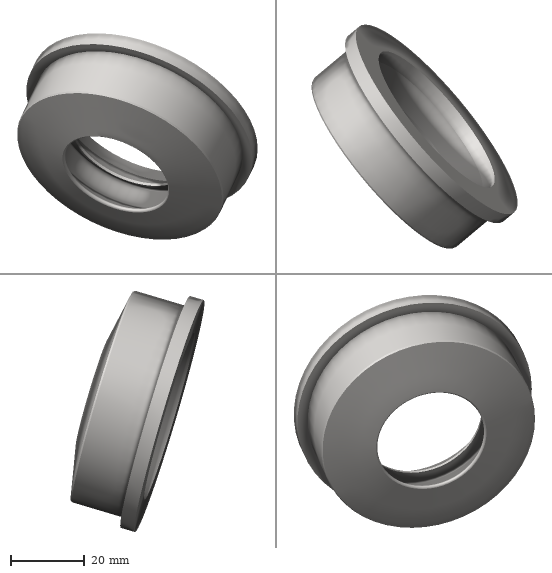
import math

import cadquery as cq

total_length = 22.0
flange_thickness = 3.95
nose_length = 2.9
edge_chamfer_length = 0.45
edge_chamfer_width = 0.25
bore_start = 7.85
bore_end = 14.85
lip_front = 11.5
lip_rear = 12.35
rear_bore_start = 18.15

flange_radius = 66 / 2
body_radius = 60.2 / 2
hole_radius = 30.1 / 2
lip_radius = 35 / 2
bore_radius = 46.0 / 2
rear_opening_radius = 23.7

rim_round = 0.65
bore_entry_round = 1.0
lip_root_round = 0.4

flange_front = total_length - flange_thickness
nose_edge_radius = body_radius - edge_chamfer_width

rim_center_radius = hole_radius + rim_round
nose_slope = math.atan2(nose_length, nose_edge_radius - rim_center_radius)
rim_center = rim_round * math.cos(nose_slope)
nose_tip_radius = rim_center_radius - rim_round * math.sin(nose_slope)

cone_run = bore_radius - rim_center_radius
cone_rise = bore_start - rim_center
inner_slope = math.atan2(cone_rise, cone_run) + math.asin(-rim_round / math.hypot(cone_run, cone_rise))
inner_cone_start = (
    rim_center_radius - rim_round * math.sin(inner_slope),
    rim_center + rim_round * math.cos(inner_slope),
)


def rounded_corner(before, corner, after, radius):
    """Return start, middle and end of the arc that rounds a profile corner."""
    tip = cq.Vector(*corner)
    toward_before = (cq.Vector(*before) - tip).normalized()
    toward_after = (cq.Vector(*after) - tip).normalized()
    half_angle = toward_before.getAngle(toward_after) / 2
    tangent_length = radius / math.tan(half_angle)
    bisector = (toward_before + toward_after).normalized()
    middle = tip + bisector * (radius / math.sin(half_angle) - radius)
    start = tip + toward_before * tangent_length
    end = tip + toward_after * tangent_length
    return start, middle, end


bore_front_corner = (bore_radius, bore_start)
bore_rear_corner = (bore_radius, bore_end)
lip_front_edge = (lip_radius, lip_front)

entry_start, entry_middle, entry_end = rounded_corner(
    inner_cone_start, bore_front_corner, bore_rear_corner, bore_entry_round
)
root_start, root_middle, root_end = rounded_corner(
    bore_front_corner, bore_rear_corner, lip_front_edge, lip_root_round
)

profile = (
    cq.Workplane("XY")
    .moveTo(nose_tip_radius, 0)
    .lineTo(nose_edge_radius, nose_length)
    .lineTo(body_radius, nose_length + edge_chamfer_length)
    .lineTo(body_radius, flange_front)
    .lineTo(flange_radius, flange_front)
    .lineTo(flange_radius, total_length)
    .lineTo(rear_opening_radius, total_length)
    .lineTo(bore_radius, rear_bore_start)
    .lineTo(lip_radius, lip_rear)
    .lineTo(*lip_front_edge)
    .lineTo(root_end.x, root_end.y)
    .threePointArc(root_middle.toTuple()[:2], root_start.toTuple()[:2])
    .lineTo(entry_end.x, entry_end.y)
    .threePointArc(entry_middle.toTuple()[:2], entry_start.toTuple()[:2])
    .lineTo(*inner_cone_start)
    .threePointArc((hole_radius, rim_center), (nose_tip_radius, 0))
    .close()
)

result = profile.revolve(360, (0, 0, 0), (0, 1, 0)).translate((0, -total_length / 2, 0))